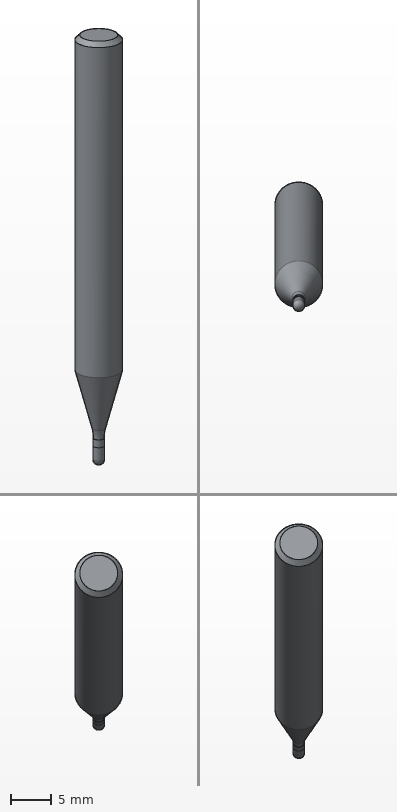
import cadquery as cq
import math

total_length = 57.0
shank_radius = 6.0 / 2
top_chamfer = 0.6

tip_radius = 0.75
tip_length = 2.5

collar_top = 3.55
neck_bottom_radius = 0.7
neck_top_radius = 0.85
cone_bottom = 4.85
cone_top = 12.6

flare_height = cone_bottom - collar_top
flare_step = neck_top_radius - neck_bottom_radius
flare_radius = (flare_height**2 + flare_step**2) / (2 * flare_step)


def make_tip():
    """Round cutting tip with a hemispherical end."""
    diagonal = tip_radius * math.sqrt(0.5)
    return (
        cq.Workplane("XZ")
        .moveTo(0, 0)
        .threePointArc((diagonal, tip_radius - diagonal), (tip_radius, tip_radius))
        .lineTo(tip_radius, tip_length)
        .lineTo(0, tip_length)
        .close()
        .revolve(360, (0, 0, 0), (0, 1, 0))
    )


def make_shank():
    """Collar, flared neck, cone and chamfered shank turned as one body."""
    return (
        cq.Workplane("XZ")
        .moveTo(0, tip_length)
        .lineTo(tip_radius, tip_length)
        .lineTo(tip_radius, collar_top)
        .lineTo(neck_bottom_radius, collar_top)
        .radiusArc((neck_top_radius, cone_bottom), flare_radius)
        .lineTo(shank_radius, cone_top)
        .lineTo(shank_radius, total_length - top_chamfer)
        .lineTo(shank_radius - top_chamfer, total_length)
        .lineTo(0, total_length)
        .close()
        .revolve(360, (0, 0, 0), (0, 1, 0))
    )


tip = make_tip()
shank = make_shank()

result = cq.Compound.makeCompound([tip.val(), shank.val()])